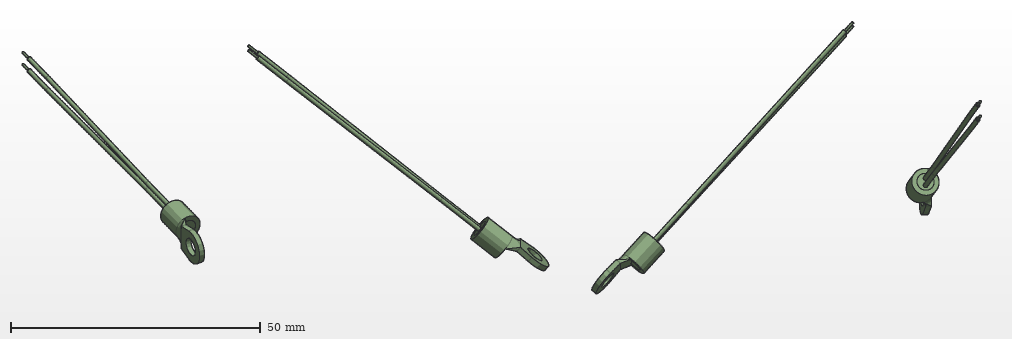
import cadquery as cq
import math


barrel_diameter = 5.6
barrel_length = 6.2
bore_diameter = 3.5
tongue_thickness = 1.15
neck_length = 2.1
neck_chord_y = -0.6
ring_diameter = 7.2
ring_hole_diameter = 3.7
ring_center_x = 12.1

insulation_diameter = 0.93
conductor_diameter = 0.5
lead_length = 60.0
stripped_length = 2.4
straight_length = 10.0
entry_pitch = 1.5
tip_pitch = 3.0

barrel_radius = barrel_diameter / 2
ring_radius = ring_diameter / 2
tongue_bottom_y = -barrel_radius
tongue_top_y = tongue_bottom_y + tongue_thickness
tongue_start_x = barrel_length + neck_length
tongue_half_width = barrel_radius


def make_flat_face(*corners):
    return cq.Face.makeFromWires(cq.Wire.makePolygon(corners, close=True))


def make_neck():
    """Neck blending a circular segment on the barrel end into the tongue's rectangular section."""
    chord_half = math.sqrt(barrel_radius**2 - neck_chord_y**2)

    chord_low = cq.Vector(barrel_length, neck_chord_y, -chord_half)
    chord_high = cq.Vector(barrel_length, neck_chord_y, chord_half)
    arc_middle = cq.Vector(barrel_length, -barrel_radius, 0)
    chord = cq.Edge.makeLine(chord_low, chord_high)
    arc = cq.Edge.makeThreePointArc(chord_low, arc_middle, chord_high)

    top_low = cq.Vector(tongue_start_x, tongue_top_y, -tongue_half_width)
    top_high = cq.Vector(tongue_start_x, tongue_top_y, tongue_half_width)
    bottom_low = cq.Vector(tongue_start_x, tongue_bottom_y, -tongue_half_width)
    bottom_high = cq.Vector(tongue_start_x, tongue_bottom_y, tongue_half_width)
    top_edge = cq.Edge.makeLine(top_low, top_high)
    bottom_edge = cq.Edge.makeLine(bottom_low, bottom_high)

    faces = [
        cq.Face.makeFromWires(cq.Wire.assembleEdges([chord, arc])),
        make_flat_face(top_low, top_high, bottom_high, bottom_low),
        cq.Face.makeRuledSurface(chord, top_edge),
        cq.Face.makeRuledSurface(arc, bottom_edge),
        make_flat_face(chord_low, top_low, bottom_low),
        make_flat_face(chord_high, top_high, bottom_high),
    ]
    neck = cq.Solid.makeSolid(cq.Shell.makeShell(faces))
    return cq.Workplane(neck.fix())


def make_tongue():
    """Flat tongue whose edges run tangent into the ring around the screw hole."""
    corner_dx = tongue_start_x - ring_center_x
    corner_distance = math.hypot(corner_dx, tongue_half_width)
    corner_angle = math.atan2(tongue_half_width, corner_dx)
    tangent_angle = corner_angle - math.acos(ring_radius / corner_distance)
    tangent_x = ring_center_x + ring_radius * math.cos(tangent_angle)
    tangent_z = ring_radius * math.sin(tangent_angle)

    return (
        cq.Workplane("XZ", origin=(0, tongue_top_y, 0))
        .moveTo(tongue_start_x, -tongue_half_width)
        .lineTo(tangent_x, -tangent_z)
        .threePointArc((ring_center_x + ring_radius, 0), (tangent_x, tangent_z))
        .lineTo(tongue_start_x, tongue_half_width)
        .close()
        .moveTo(ring_center_x, 0)
        .circle(ring_hole_diameter / 2)
        .extrude(tongue_thickness)
    )


def make_lug():
    barrel = (
        cq.Workplane("YZ")
        .circle(barrel_radius)
        .circle(bore_diameter / 2)
        .extrude(barrel_length)
    )
    return barrel.union(make_neck()).union(make_tongue())


def make_filler():
    """Potting plug that fills the barrel bore."""
    return cq.Workplane("YZ").circle(bore_diameter / 2).extrude(barrel_length)


def make_insulation(side):
    """Insulated lead ending on the filler face; side is +1 for the upper lead, -1 for the lower."""
    entry_z = side * entry_pitch / 2
    tip_z = side * tip_pitch / 2
    path = (
        cq.Workplane("XZ")
        .moveTo(0, entry_z)
        .lineTo(-straight_length, entry_z)
        .lineTo(straight_length - lead_length, tip_z)
        .lineTo(stripped_length - lead_length, tip_z)
    )
    return (
        cq.Workplane("YZ", origin=(0, 0, entry_z))
        .circle(insulation_diameter / 2)
        .sweep(path, transition="right")
    )


def make_conductor(side):
    """Bare conductor end standing out of the stripped insulation."""
    return (
        cq.Workplane("YZ", origin=(-lead_length, 0, side * tip_pitch / 2))
        .circle(conductor_diameter / 2)
        .extrude(stripped_length)
    )


lug = make_lug()
filler = make_filler()
bodies = [lug.val(), filler.val()]
for lead_side in (1, -1):
    bodies.append(make_insulation(lead_side).val())
    bodies.append(make_conductor(lead_side).val())

result = cq.Compound.makeCompound(bodies)